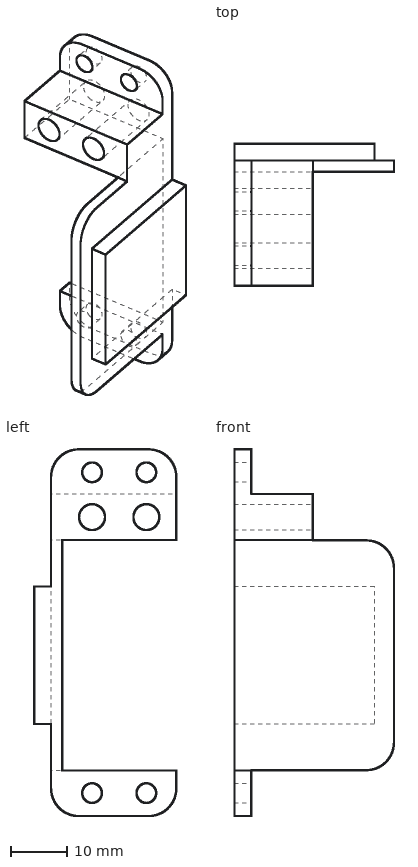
import cadquery as cq

height = 65.45
plate_depth = 28.5
total_width = 25.4

flange_thickness = 3.0
plate_thickness = 2.0
pad_thickness = 3.0
corner_radius = 5.0

upper_flange_height = 16.2
lower_flange_height = 8.2
plate_height = height - upper_flange_height - lower_flange_height
plate_middle = lower_flange_height + plate_height / 2

block_depth = 14.0
block_height = 8.25

pad_depth = 25.0
pad_height = 24.55

small_hole_diameter = 3.5
large_hole_diameter = 4.6
hole_spacing = 9.7
hole_row_center = 10.2
small_hole_edge_distance = 4.1
large_hole_top_distance = 12.1

flange_width = total_width - pad_thickness
plate_front = flange_width - plate_thickness


def box(depth, width, tall, y, z):
    """Box starting at X = 0 with its lowest corner at the given Y and Z."""
    return cq.Workplane("XY").box(depth, width, tall, centered=False).translate((0, y, z))


def hole_pair(diameter, z):
    """Two holes side by side, running along X through flange and block."""
    return (
        cq.Workplane("YZ")
        .pushPoints([(hole_row_center + side * hole_spacing / 2, z) for side in (-1, 1)])
        .circle(diameter / 2)
        .extrude(block_depth)
    )


flanges = box(flange_thickness, flange_width, height, 0, 0).edges("|X").fillet(corner_radius)
window = box(flange_thickness, plate_front, plate_height, 0, lower_flange_height)
flanges = flanges.cut(window)

plate = box(plate_depth, plate_thickness, plate_height, plate_front, lower_flange_height)
plate = plate.edges("|Y and >X").fillet(corner_radius)

block_bottom = height - upper_flange_height
block = box(block_depth, flange_width, block_height, 0, block_bottom)
pad = box(pad_depth, pad_thickness, pad_height, flange_width, plate_middle - pad_height / 2)

result = flanges.union(plate).union(block).union(pad)

result = result.cut(hole_pair(small_hole_diameter, small_hole_edge_distance))
result = result.cut(hole_pair(small_hole_diameter, height - small_hole_edge_distance))
result = result.cut(hole_pair(large_hole_diameter, height - large_hole_top_distance))